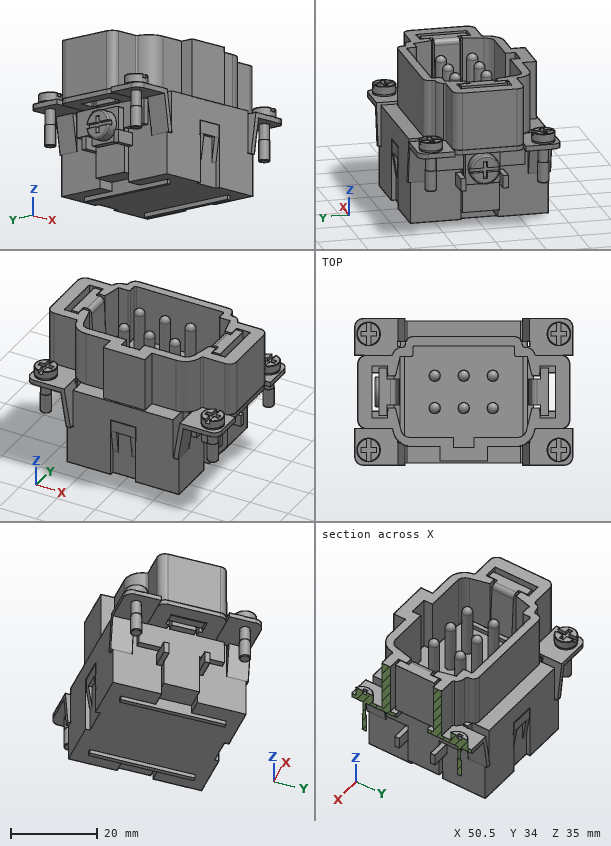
import cadquery as cq


OVERALL_LENGTH = 50.5
OVERALL_WIDTH = 34.0
OVERALL_HEIGHT = 35.0
SHROUD_TOP = 13.9

BODY_HALF_LENGTH = 14.75
BODY_HALF_WIDTH = 16.45
BODY_BOTTOM = -20.05
END_RIB_FACE = 16.15
END_RIB_SHOULDER = -7.3
END_RIB_BOTTOM = -17.95
END_RIB_HALF_WIDTH = 10.55
END_STEM_WIDTH = 8.85
FOOT_BOTTOM = SHROUD_TOP - OVERALL_HEIGHT
FOOT_X = 10.3
FOOT_THICKNESS = 0.95
FOOT_LENGTH = 26.0
PRONG_TIP = 19.65
PRONG_TOP = -8.55
PRONG_BOTTOM = -11.55
PRONG_WIDTH = 1.25

WINDOW_WIDTH = 6.5
WINDOW_TOP = -5.15
WINDOW_DEPTH = 1.05
LINTEL_DEPTH = 0.15
LINTEL_BOTTOM = -8.2
RAMP_BOTTOM = -14.1
RAMP_INNER_X = 1.8

TUB_FRONT = -12.7
TUB_BACK = 12.8
TUB_FLAT_X = 11.85
TUB_END_X = 16.35
TUB_WING_BLEND = 0.45
TUB_FRONT_RADIUS = 4.45
TUB_STEP_START = (14.25, 10.3)
TUB_STEP_END = (13.55, 11.0)
TUB_STEP_RADIUS = 0.7
TUB_SHOULDER_RADIUS = 2.25
TUB_BACK_RADIUS = 1.75
WING_HALF_LENGTH = 24.55
WING_HALF_WIDTH = 8.5
WING_BOTTOM = -1.15
WING_CORNER_RADIUS = 1.95
WING_BASE_INSET = 0.1
CAVITY_FLOOR = -0.25
CAVITY_FRONT = -10.5
CAVITY_BACK = 10.65
CAVITY_FRONT_FLAT_X = 12.75
CAVITY_FRONT_ARC_END = (14.6, -8.6)
CAVITY_FRONT_RADIUS = 2.25
CAVITY_BACK_CORNER_X = 14.7
CAVITY_END = 15.8
LEDGE_TOP = 0.75
LEDGE_INNER_X = 13.7
BACK_STEP_X = 11.75
BACK_STEP_Y = 8.25
BACK_STEP_RADIUS = 0.4
KEY_FRONT = -15.95
KEY_WIDTH = 11.0
KEYWAY_FRONT = -12.9
KEYWAY_WIDTH = 4.7

POCKET_INNER_X = 17.6
POCKET_OUTER_X = 21.2
POCKET_WIDTH = 12.05
POCKET_THROAT_WIDTH = END_STEM_WIDTH
CHANNEL_INNER_X = 14.8
CHANNEL_WIDTH = 7.4
LATCH_INNER_X = 15.65
LATCH_FOOT_X = 14.95
LATCH_BAR_INNER_X = 17.75
LATCH_OUTER_X = PRONG_TIP
LATCH_BAR_WIDTH = 10.95
LATCH_STEM_WIDTH = 6.05
LATCH_LIP_RADIUS = 1.25

PIN_DIAMETER = 2.6
PIN_TIP = 13.05
PINS_PER_ROW = 3
PIN_ROWS = 2
PIN_PITCH_X = 6.7
PIN_PITCH_Y = 7.45

TAB_THICKNESS = 1.2
TAB_INNER_X = 15.25
TAB_INNER_Y = 8.45
TAB_CORNER_RADIUS = 2.0
LEG_INNER_Y = 11.7
LEG_BOTTOM = -10.1
LEG_FOOT_INNER_X = 13.6
LEG_SLOT_INNER_X = 13.2
LEG_SLOT_INNER_Y = 11.6
LEG_SLOT_BOTTOM = -10.0

SCREW_X = 22.0
SCREW_Y = 13.45
SCREW_HEAD_DIAMETER = 5.45
SCREW_COLLAR_DIAMETER = 5.35
SCREW_COLLAR_HEIGHT = 0.4
SCREW_HEAD_HEIGHT = 2.4
SCREW_HEAD_CHAMFER = 0.15
SCREW_NECK_DIAMETER = 2.45
SCREW_NECK_BOTTOM = -4.95
SCREW_THREAD_DIAMETER = 2.65
SCREW_BOTTOM = -9.95
SCREW_TIP_CHAMFER = 0.2
DRIVE_SLOT_WIDTH = 1.05
DRIVE_SLOT_DEPTH = 0.85
DRIVE_CROSS_LENGTH = 3.6

TERMINAL_Z = -6.55
CLAMP_SIDE = 8.25
CLAMP_THICKNESS = 1.7
CLAMP_CORNER_RADIUS = 0.3
TERMINAL_HEAD_DIAMETER = 7.0
TERMINAL_HEAD_HEIGHT = 2.7
TERMINAL_HEAD_FILLET = 0.4
TERMINAL_SLOT_DEPTH = 1.05
TERMINAL_CROSS_LENGTH = 4.05
TERMINAL_CROSS_WIDTH = 0.95


def block(x0, x1, y0, y1, z0, z1):
    """Box given by its limits along each axis."""
    return cq.Workplane("XY").box(x1 - x0, y1 - y0, z1 - z0, centered=False).translate((x0, y0, z0))


def wide_block(x0, x1, width, z0, z1):
    """Box centred on Y = 0."""
    return block(x0, x1, -width / 2, width / 2, z0, z1)


def both_ends(shape):
    """The shape and its mirror image about X = 0."""
    return shape.union(shape.mirror("YZ"))


def both_sides(shape):
    """The shape and its mirror image about Y = 0."""
    return shape.union(shape.mirror("XZ"))


def make_end_details():
    """T-shaped thickening and two prongs on the +X end of the body."""
    crossbar = wide_block(0, END_RIB_FACE, 2 * END_RIB_HALF_WIDTH, END_RIB_SHOULDER, 0)
    stem = wide_block(0, END_RIB_FACE, END_STEM_WIDTH, END_RIB_BOTTOM, END_RIB_SHOULDER)
    prong_y = END_STEM_WIDTH / 2
    prong = block(0, PRONG_TIP, prong_y, prong_y + PRONG_WIDTH, PRONG_BOTTOM, PRONG_TOP)
    foot = wide_block(
        FOOT_X - FOOT_THICKNESS / 2, FOOT_X + FOOT_THICKNESS / 2, FOOT_LENGTH, FOOT_BOTTOM, BODY_BOTTOM
    )
    return crossbar.union(stem).union(both_sides(prong)).union(foot)


def make_window():
    """Recess in the -Y side: shallow lintel, full-depth channel, two ramps beside it."""
    face_y = -BODY_HALF_WIDTH
    floor_y = face_y + WINDOW_DEPTH
    profile = (
        cq.Workplane("YZ")
        .moveTo(face_y, WINDOW_TOP)
        .lineTo(face_y + LINTEL_DEPTH, WINDOW_TOP)
        .lineTo(face_y + LINTEL_DEPTH, LINTEL_BOTTOM)
        .lineTo(floor_y, RAMP_BOTTOM)
        .lineTo(floor_y, BODY_BOTTOM)
        .lineTo(face_y, BODY_BOTTOM)
        .close()
        .extrude(WINDOW_WIDTH / 2, both=True)
    )
    channel = block(-RAMP_INNER_X, RAMP_INNER_X, face_y, floor_y, BODY_BOTTOM, LINTEL_BOTTOM)
    return profile.union(channel)


def make_body():
    """Block under the shroud with leg slots, end notches, windows and end details."""
    body = wide_block(-BODY_HALF_LENGTH, BODY_HALF_LENGTH, 2 * BODY_HALF_WIDTH, BODY_BOTTOM, 0)
    leg_slot = block(
        LEG_SLOT_INNER_X, BODY_HALF_LENGTH, LEG_SLOT_INNER_Y, BODY_HALF_WIDTH, LEG_SLOT_BOTTOM, 0
    )
    end_notch = wide_block(
        FOOT_X + FOOT_THICKNESS / 2,
        BODY_HALF_LENGTH,
        END_STEM_WIDTH,
        BODY_BOTTOM,
        END_RIB_BOTTOM,
    )
    return (
        body.cut(both_ends(both_sides(leg_slot)))
        .cut(both_ends(end_notch))
        .cut(both_sides(make_window()))
        .union(both_ends(make_end_details()))
    )


def make_tub():
    """Outer volume of the shroud without its wings."""
    wing_root_x = TUB_END_X + TUB_WING_BLEND
    blend_y = WING_HALF_WIDTH + TUB_WING_BLEND
    half = (
        cq.Workplane("XY")
        .moveTo(0, TUB_FRONT)
        .lineTo(TUB_FLAT_X, TUB_FRONT)
        .radiusArc((TUB_END_X, -blend_y), -TUB_FRONT_RADIUS)
        .radiusArc((wing_root_x, -WING_HALF_WIDTH), TUB_WING_BLEND)
        .lineTo(wing_root_x, WING_HALF_WIDTH)
        .radiusArc((TUB_END_X, blend_y), TUB_WING_BLEND)
        .radiusArc(TUB_STEP_START, -TUB_SHOULDER_RADIUS)
        .radiusArc(TUB_STEP_END, TUB_STEP_RADIUS)
        .radiusArc((TUB_FLAT_X, TUB_BACK), -TUB_BACK_RADIUS)
        .lineTo(0, TUB_BACK)
        .close()
        .extrude(SHROUD_TOP)
    )
    return both_ends(half)


def make_cavity():
    """Inner volume of the shroud, with the stepped back corners."""
    half = (
        cq.Workplane("XY")
        .workplane(offset=CAVITY_FLOOR)
        .moveTo(0, CAVITY_FRONT)
        .lineTo(CAVITY_FRONT_FLAT_X, CAVITY_FRONT)
        .radiusArc(CAVITY_FRONT_ARC_END, -CAVITY_FRONT_RADIUS)
        .lineTo(CAVITY_END, -CHANNEL_WIDTH / 2)
        .lineTo(CAVITY_END, CHANNEL_WIDTH / 2)
        .lineTo(CAVITY_BACK_CORNER_X, BACK_STEP_Y)
        .lineTo(BACK_STEP_X + BACK_STEP_RADIUS, BACK_STEP_Y)
        .radiusArc((BACK_STEP_X, BACK_STEP_Y + BACK_STEP_RADIUS), BACK_STEP_RADIUS)
        .lineTo(BACK_STEP_X, CAVITY_BACK - BACK_STEP_RADIUS)
        .radiusArc((BACK_STEP_X - BACK_STEP_RADIUS, CAVITY_BACK), -BACK_STEP_RADIUS)
        .lineTo(0, CAVITY_BACK)
        .close()
        .extrude(SHROUD_TOP - CAVITY_FLOOR)
    )
    floor_ledge = wide_block(LEDGE_INNER_X, CHANNEL_INNER_X, 2 * BODY_HALF_WIDTH, CAVITY_FLOOR, LEDGE_TOP)
    return both_ends(half.cut(floor_ledge))


def make_latch_opening():
    """Slot in the +X wing, narrowed at the bottom and joined to the cavity by a channel."""
    pocket = wide_block(POCKET_INNER_X, POCKET_OUTER_X, POCKET_WIDTH, 0, SHROUD_TOP)
    throat = wide_block(POCKET_INNER_X, POCKET_OUTER_X, POCKET_THROAT_WIDTH, WING_BOTTOM, 0)
    channel = wide_block(END_RIB_FACE, POCKET_INNER_X, CHANNEL_WIDTH, WING_BOTTOM, SHROUD_TOP)
    inlet = wide_block(CHANNEL_INNER_X, END_RIB_FACE, CHANNEL_WIDTH, CAVITY_FLOOR, SHROUD_TOP)
    return pocket.union(throat).union(channel).union(inlet)


def make_latch():
    """T-shaped latch with a rounded lip towards the cavity."""
    bar = wide_block(LATCH_BAR_INNER_X, LATCH_OUTER_X, LATCH_BAR_WIDTH, 0, SHROUD_TOP)
    stem = (
        cq.Workplane("XZ")
        .moveTo(LATCH_BAR_INNER_X, WING_BOTTOM)
        .lineTo(LATCH_BAR_INNER_X, SHROUD_TOP)
        .lineTo(LATCH_INNER_X + LATCH_LIP_RADIUS, SHROUD_TOP)
        .radiusArc((LATCH_INNER_X, SHROUD_TOP - LATCH_LIP_RADIUS), -LATCH_LIP_RADIUS)
        .lineTo(LATCH_FOOT_X, CAVITY_FLOOR)
        .lineTo(LATCH_FOOT_X, WING_BOTTOM)
        .close()
        .extrude(LATCH_STEM_WIDTH / 2, both=True)
    )
    return bar.union(stem)


def make_wings():
    """Rounded box through both wings, stepped back a little below Z = 0."""

    def layer(inset, bottom, top):
        half_length = WING_HALF_LENGTH - inset
        width = 2 * WING_HALF_WIDTH
        return (
            wide_block(-half_length, half_length, width, bottom, top)
            .edges("|Z")
            .fillet(WING_CORNER_RADIUS)
        )

    return layer(0, 0, SHROUD_TOP).union(layer(WING_BASE_INSET, WING_BOTTOM, 0))


def make_shroud(base):
    """Add the shroud to the base and hollow it out."""
    key = block(-KEY_WIDTH / 2, KEY_WIDTH / 2, KEY_FRONT, TUB_FRONT, 0, SHROUD_TOP)
    keyway = block(
        -KEYWAY_WIDTH / 2, KEYWAY_WIDTH / 2, KEYWAY_FRONT, CAVITY_FRONT, CAVITY_FLOOR, SHROUD_TOP
    )
    return (
        base.union(make_tub().union(make_wings()).union(key))
        .cut(make_cavity().union(keyway))
        .cut(both_ends(make_latch_opening()))
        .union(both_ends(make_latch()))
    )


def make_pins():
    """Round-nosed contact pins in two rows of three."""
    radius = PIN_DIAMETER / 2
    return (
        cq.Workplane("XY")
        .workplane(offset=CAVITY_FLOOR)
        .rarray(PIN_PITCH_X, PIN_PITCH_Y, PINS_PER_ROW, PIN_ROWS)
        .circle(radius)
        .extrude(PIN_TIP - radius - CAVITY_FLOOR)
        .union(
            cq.Workplane("XY")
            .workplane(offset=PIN_TIP - radius)
            .rarray(PIN_PITCH_X, PIN_PITCH_Y, PINS_PER_ROW, PIN_ROWS)
            .sphere(radius)
        )
    )


def make_tab():
    """Mounting tab at the +X +Y corner with its leg sloping into the body."""
    plate = (
        block(TAB_INNER_X, OVERALL_LENGTH / 2, TAB_INNER_Y, OVERALL_WIDTH / 2, -TAB_THICKNESS, 0)
        .edges("|Z and >X and >Y")
        .fillet(TAB_CORNER_RADIUS)
    )
    leg = (
        cq.Workplane("XZ", origin=(0, OVERALL_WIDTH / 2, 0))
        .moveTo(TAB_INNER_X, 0)
        .lineTo(LEG_FOOT_INNER_X, LEG_BOTTOM)
        .lineTo(BODY_HALF_LENGTH, LEG_BOTTOM)
        .lineTo(END_RIB_FACE, -TAB_THICKNESS)
        .lineTo(END_RIB_FACE, 0)
        .close()
        .extrude(OVERALL_WIDTH / 2 - LEG_INNER_Y)
    )
    return plate.union(leg)


def make_tab_screw():
    """Cheese-head screw with a through slot along Y and a short cross slot along X."""
    collar = cq.Workplane("XY").circle(SCREW_COLLAR_DIAMETER / 2).extrude(SCREW_COLLAR_HEIGHT)
    head = (
        cq.Workplane("XY")
        .workplane(offset=SCREW_COLLAR_HEIGHT)
        .circle(SCREW_HEAD_DIAMETER / 2)
        .extrude(SCREW_HEAD_HEIGHT - SCREW_COLLAR_HEIGHT)
        .faces(">Z")
        .edges()
        .chamfer(SCREW_HEAD_CHAMFER)
    )
    slot_plane = cq.Workplane("XY").workplane(offset=SCREW_HEAD_HEIGHT)
    slot = slot_plane.rect(DRIVE_SLOT_WIDTH, SCREW_HEAD_DIAMETER).extrude(-DRIVE_SLOT_DEPTH)
    cross = slot_plane.rect(DRIVE_CROSS_LENGTH, DRIVE_SLOT_WIDTH).extrude(-DRIVE_SLOT_DEPTH)
    neck = cq.Workplane("XY").circle(SCREW_NECK_DIAMETER / 2).extrude(SCREW_NECK_BOTTOM)
    thread = (
        cq.Workplane("XY")
        .workplane(offset=SCREW_BOTTOM)
        .circle(SCREW_THREAD_DIAMETER / 2)
        .extrude(SCREW_NECK_BOTTOM - SCREW_BOTTOM)
        .faces("<Z")
        .edges()
        .chamfer(SCREW_TIP_CHAMFER)
    )
    screw = head.cut(slot).cut(cross).union(collar).union(neck).union(thread)
    return screw.translate((SCREW_X, SCREW_Y, 0))


def make_earth_terminal():
    """Square clamp plate and slotted screw head on the -X end."""
    clamp = (
        cq.Workplane("YZ", origin=(-END_RIB_FACE, 0, TERMINAL_Z))
        .rect(CLAMP_SIDE, CLAMP_SIDE)
        .extrude(-CLAMP_THICKNESS)
        .edges("|X")
        .fillet(CLAMP_CORNER_RADIUS)
    )
    clamp_face = -END_RIB_FACE - CLAMP_THICKNESS
    head = (
        cq.Workplane("YZ", origin=(clamp_face, 0, TERMINAL_Z))
        .circle(TERMINAL_HEAD_DIAMETER / 2)
        .extrude(-TERMINAL_HEAD_HEIGHT)
        .faces("<X")
        .edges()
        .fillet(TERMINAL_HEAD_FILLET)
    )
    slot_plane = cq.Workplane("YZ", origin=(clamp_face - TERMINAL_HEAD_HEIGHT, 0, TERMINAL_Z))
    slot = slot_plane.rect(TERMINAL_HEAD_DIAMETER, DRIVE_SLOT_WIDTH).extrude(TERMINAL_SLOT_DEPTH)
    cross = slot_plane.rect(TERMINAL_CROSS_WIDTH, TERMINAL_CROSS_LENGTH).extrude(TERMINAL_SLOT_DEPTH)
    return clamp.union(head.cut(slot).cut(cross))


tab_with_screw = make_tab().union(make_tab_screw())

result = (
    make_shroud(make_body())
    .union(make_pins())
    .union(both_ends(both_sides(tab_with_screw)))
    .union(make_earth_terminal())
)